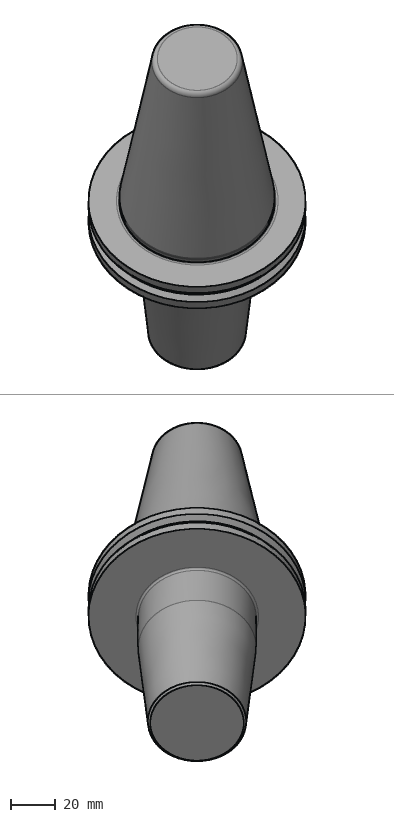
import cadquery as cq
import math


gauge_diameter = 69.85
shank_length = 101.75
taper_per_length = 7 / 24
shank_end_radius = 2.5

flange_diameter = 97.5
flange_top_depth = 3.2
flange_bottom_depth = 19.1

undercut_length = 2.5
undercut_depth = 0.2
undercut_ramp_angle = 15.0
undercut_corner_radius = 0.6
undercut_face_width = 1.35
undercut_face_depth = 0.1

groove_center_depth = 11.1
groove_root_diameter = 91.2
groove_rim_width = 6.6
groove_flank_angle = 30.0
groove_root_fillet = 0.6

nose_length = 100.0
nose_diameter = 53.0
nose_tip_diameter = 44.0
nose_cone_angle = 4.5
nose_corner_radius = 1.0
nose_tip_chamfer = 1.0

gauge_radius = gauge_diameter / 2
shank_tip_radius = gauge_radius - shank_length * taper_per_length / 2
nose_radius = nose_diameter / 2
nose_tip_radius = nose_tip_diameter / 2
nose_cone_length = (nose_radius - nose_tip_radius) / math.tan(math.radians(nose_cone_angle))


def revolve_about_z(profile):
    """Full turn of a closed XZ profile about the Z axis."""
    return profile.revolve(360, (0, 0, 0), (0, 1, 0))


def make_shank():
    """Tapered shank with a rounded small end and a short neck down to the flange."""
    profile = (
        cq.Workplane("XZ")
        .moveTo(0, -flange_top_depth)
        .lineTo(gauge_radius, -flange_top_depth)
        .lineTo(gauge_radius, 0)
        .lineTo(shank_tip_radius, shank_length)
        .lineTo(0, shank_length)
        .close()
    )
    return revolve_about_z(profile).faces(">Z").edges().fillet(shank_end_radius)


def make_flange():
    """Flange disc with the V groove in its rim, rounded at the groove root."""
    rim_radius = flange_diameter / 2
    root_radius = groove_root_diameter / 2
    rim_half_width = groove_rim_width / 2
    flank_width = (rim_radius - root_radius) * math.tan(math.radians(groove_flank_angle))
    root_half_width = rim_half_width - flank_width
    profile = (
        cq.Workplane("XZ")
        .moveTo(0, -flange_bottom_depth)
        .lineTo(rim_radius, -flange_bottom_depth)
        .lineTo(rim_radius, -groove_center_depth - rim_half_width)
        .lineTo(root_radius, -groove_center_depth - root_half_width)
        .lineTo(root_radius, -groove_center_depth + root_half_width)
        .lineTo(rim_radius, -groove_center_depth + rim_half_width)
        .lineTo(rim_radius, -flange_top_depth)
        .lineTo(0, -flange_top_depth)
        .close()
    )
    disc = revolve_about_z(profile)
    root_edges = disc.edges(cq.selectors.RadiusNthSelector(0))
    return root_edges.fillet(groove_root_fillet)


def make_nose():
    """Cylinder below the flange that narrows to a chamfered conical tip."""
    profile = (
        cq.Workplane("XZ")
        .moveTo(0, -nose_length)
        .lineTo(nose_tip_radius, -nose_length)
        .lineTo(nose_radius, -nose_length + nose_cone_length)
        .lineTo(nose_radius, -flange_bottom_depth)
        .lineTo(0, -flange_bottom_depth)
        .close()
    )
    return revolve_about_z(profile).faces("<Z").edges().chamfer(nose_tip_chamfer)


def make_nose_corner():
    """Concave fillet ring between the nose cylinder and the underside of the flange."""
    shaft_end_z = -flange_bottom_depth - nose_corner_radius
    face_end_radius = nose_radius + nose_corner_radius
    arc_inset = nose_corner_radius * (1 - math.sqrt(0.5))
    arc_middle = (nose_radius + arc_inset, -flange_bottom_depth - arc_inset)
    profile = (
        cq.Workplane("XZ")
        .moveTo(nose_radius, -flange_bottom_depth)
        .lineTo(face_end_radius, -flange_bottom_depth)
        .threePointArc(arc_middle, (nose_radius, shaft_end_z))
        .close()
    )
    return revolve_about_z(profile)


def make_undercut_cutter():
    """Ring removed from the neck and the flange face, with a rounded inner corner."""
    neck_radius = gauge_radius - undercut_depth
    floor_z = -flange_top_depth - undercut_face_depth
    start_z = -flange_top_depth + undercut_length
    ramp_end_z = start_z - undercut_depth / math.tan(math.radians(undercut_ramp_angle))
    arc_inset = undercut_corner_radius * (1 - math.sqrt(0.5))
    arc_middle = (neck_radius + arc_inset, floor_z + arc_inset)
    profile = (
        cq.Workplane("XZ")
        .moveTo(gauge_radius, start_z)
        .lineTo(neck_radius, ramp_end_z)
        .lineTo(neck_radius, floor_z + undercut_corner_radius)
        .threePointArc(arc_middle, (neck_radius + undercut_corner_radius, floor_z))
        .lineTo(gauge_radius + undercut_face_width, -flange_top_depth)
        .close()
    )
    return revolve_about_z(profile)


holder = make_shank().union(make_flange()).union(make_nose()).union(make_nose_corner())
result = holder.cut(make_undercut_cutter())